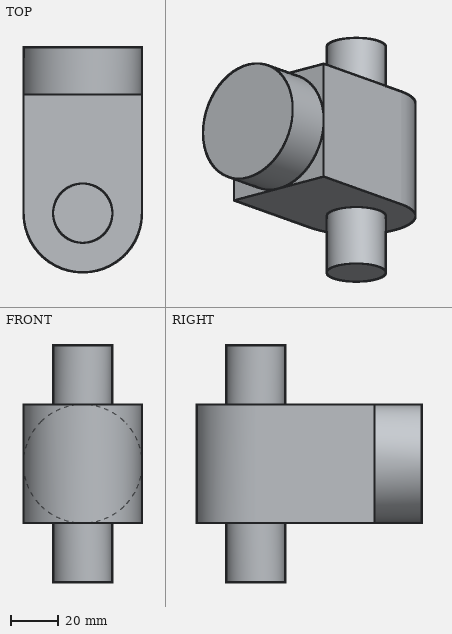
import cadquery as cq

body_width = 50.0
flat_length = 50.0
collar_length = 20.0
pin_diameter = 25.0
pin_length = 100.0

body_radius = body_width / 2


def make_block():
    """Square block with one end rounded about the pin axis (Z)."""
    outline = (
        cq.Workplane("XY")
        .workplane(offset=-body_width / 2)
        .moveTo(body_radius, 0)
        .lineTo(body_radius, flat_length)
        .lineTo(-body_radius, flat_length)
        .lineTo(-body_radius, 0)
        .threePointArc((0, -body_radius), (body_radius, 0))
        .close()
    )
    return outline.extrude(body_width)


def make_collar():
    """Round collar along +Y on the flat end of the block."""
    return (
        cq.Workplane("XZ", origin=(0, flat_length, 0))
        .circle(body_radius)
        .extrude(-collar_length)
    )


def make_pin():
    """Pin along Z, standing out equally above and below the block."""
    return (
        cq.Workplane("XY")
        .workplane(offset=-pin_length / 2)
        .circle(pin_diameter / 2)
        .extrude(pin_length)
    )


result = make_block().union(make_collar()).union(make_pin())